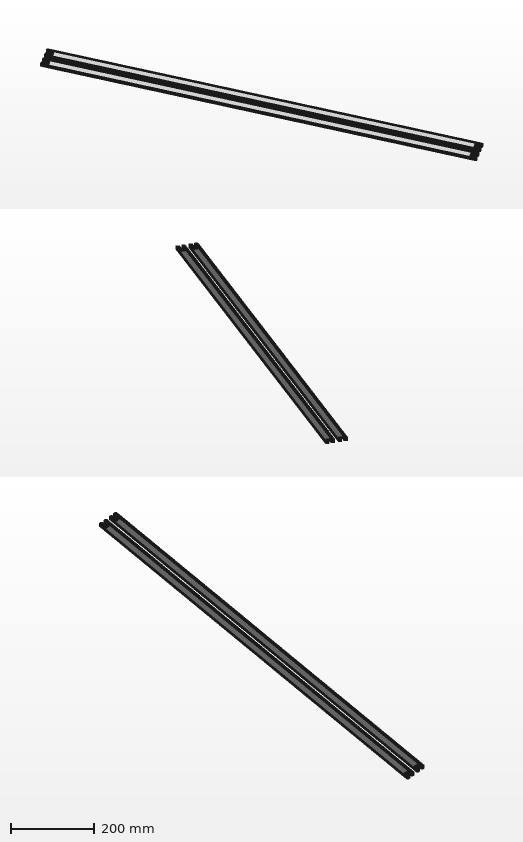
import cadquery as cq

rail_length = 1096.0
rail_width = 20.0
rail_thickness = 5.0
pair_width = 52.5

notch_depth = 15.0
notch_width = 9.0


def end_notch(end):
    """Cutter for the square notch at one end of a rail; end is -1 or +1 along X."""
    centre_x = end * (rail_length - notch_depth) / 2
    cutter = cq.Workplane("XY").box(notch_depth, notch_width, rail_thickness)
    return cutter.translate((centre_x, 0, 0))


def make_rail(centre_y):
    """Flat rail along X, forked by a notch through each end."""
    rail = cq.Workplane("XY").box(rail_length, rail_width, rail_thickness)
    for end in (-1, 1):
        rail = rail.cut(end_notch(end))
    return rail.translate((0, centre_y, 0))


rail_offset = (pair_width - rail_width) / 2
rails = [make_rail(side * rail_offset) for side in (-1, 1)]

result = cq.Compound.makeCompound([rail.solids().val() for rail in rails])